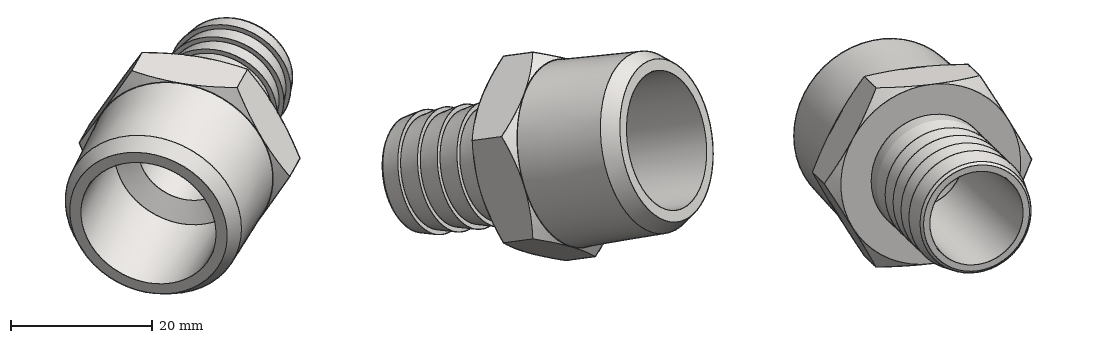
import cadquery as cq
import math

total_length = 43.5

across_flats = 27.0
hex_start = 16.45
hex_end = 23.92
hex_chamfer_angle = 30.0

thread_root_radius = 13.45
thread_tip_radius = 13.05
thread_end_radius = 11.65
thread_chamfer_length = 2.4

barb_count = 5
barb_pitch = 3.4
barb_radius = 8.95
barb_neck_radius = 8.25
tip_chamfer = 0.4

wide_bore_radius = 10.0
narrow_bore_radius = 7.0
wide_bore_depth = hex_start
bore_cone_half_angle = 60.0


def revolve_about_y(points):
    """Revolve a closed (radius, Y) outline around the Y axis."""
    return cq.Workplane("XY").polyline(points).close().revolve(360, (0, 0, 0), (0, 1, 0))


def make_thread():
    return revolve_about_y([
        (0, 0),
        (thread_end_radius, 0),
        (thread_tip_radius, thread_chamfer_length),
        (thread_root_radius, hex_start),
        (0, hex_start),
    ])


def make_hex():
    """Hexagon with corners on X, its corners cut by a cone at both faces."""
    corner_diameter = across_flats / math.cos(math.radians(30))
    prism = (
        cq.Workplane("XZ", origin=(0, hex_start, 0))
        .polygon(6, corner_diameter)
        .extrude(hex_start - hex_end)
    )
    face_radius = across_flats / 2
    corner_radius = corner_diameter / 2
    drop = (corner_radius - face_radius) * math.tan(math.radians(hex_chamfer_angle))
    envelope = revolve_about_y([
        (0, hex_start),
        (face_radius, hex_start),
        (corner_radius, hex_start + drop),
        (corner_radius, hex_end - drop),
        (face_radius, hex_end),
        (0, hex_end),
    ])
    return prism.intersect(envelope)


def make_tail():
    """Plain collar followed by barbs that each narrow toward the tip."""
    first_barb = total_length - barb_count * barb_pitch
    barb_slope = (barb_radius - barb_neck_radius) / barb_pitch
    chamfer_start_radius = barb_neck_radius + barb_slope * tip_chamfer
    outline = [(0, hex_end), (barb_radius, hex_end)]
    for index in range(barb_count):
        start = first_barb + index * barb_pitch
        outline.append((barb_radius, start))
        if index < barb_count - 1:
            outline.append((barb_neck_radius, start + barb_pitch))
    outline += [
        (chamfer_start_radius, total_length - tip_chamfer),
        (chamfer_start_radius - tip_chamfer, total_length),
        (0, total_length),
    ]
    return revolve_about_y(outline)


def make_bore():
    radius_drop = wide_bore_radius - narrow_bore_radius
    cone_length = radius_drop / math.tan(math.radians(bore_cone_half_angle))
    return revolve_about_y([
        (0, 0),
        (wide_bore_radius, 0),
        (wide_bore_radius, wide_bore_depth),
        (narrow_bore_radius, wide_bore_depth + cone_length),
        (narrow_bore_radius, total_length),
        (0, total_length),
    ])


result = make_thread().union(make_hex()).union(make_tail()).cut(make_bore())